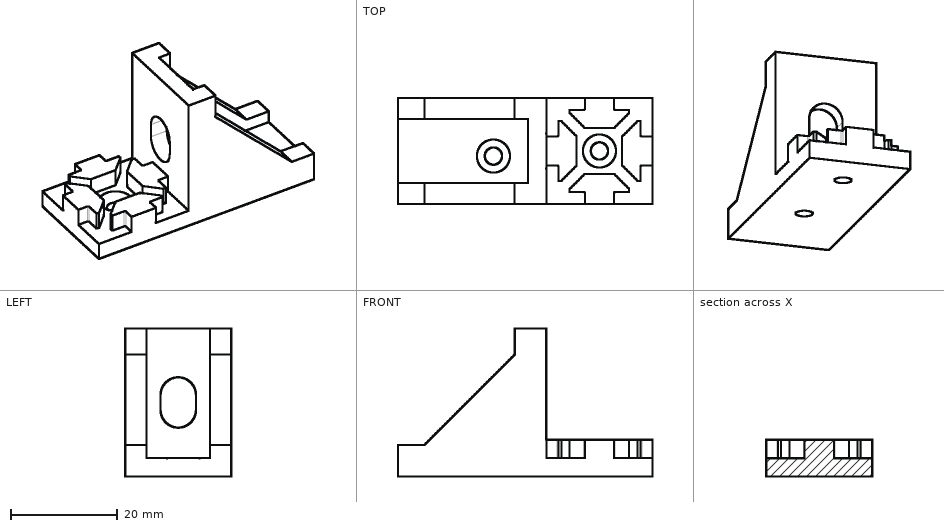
import cadquery as cq

length = 48.0
width = 20.0
height = 28.0
bracket_length = length - width
thickness = 3.5

toe_length = 5.0
toe_height = 6.0
top_length = toe_height
top_drop = toe_length
side_wall = 4.0
channel_width = width - 2 * side_wall

slot_width = 6.6
slot_length = 9.45
slot_center_z = height / 2

hole_diameter = 3.2
countersink_diameter = 6.25
bracket_hole = (18.0, -0.95)
plate_center = (length - width / 2, 0)

stem_half = 2.75
flange_half = 5.6
flange_start = 2.25
key_depth = 5.7
corner_radius = 0.25


def make_base():
    return cq.Workplane("XY").box(length, width, thickness, centered=(False, True, False))


def make_bracket():
    """Solid 45-degree bracket with an open channel between its side walls."""
    profile = [
        (0, 0),
        (bracket_length, 0),
        (bracket_length, height),
        (bracket_length - top_length, height),
        (bracket_length - top_length, height - top_drop),
        (toe_length, toe_height),
        (0, toe_height),
    ]
    bracket = cq.Workplane("XZ").polyline(profile).close().extrude(width / 2, both=True)
    channel = (
        cq.Workplane("XY")
        .workplane(offset=thickness)
        .box(bracket_length - thickness, channel_width, height, centered=(False, True, False))
    )
    return bracket.cut(channel)


def make_slot():
    """Vertical slot cutter through the upright wall."""
    return (
        cq.Workplane("YZ", origin=(bracket_length - thickness, 0, slot_center_z))
        .slot2D(slot_length, slot_width, 90)
        .extrude(thickness)
    )


def make_key():
    """Key on the +X plate edge, standing on the base."""
    edge_x = width / 2
    inner_x = edge_x - key_depth
    flange_x = edge_x - flange_start
    tip_x = inner_x + flange_half - stem_half
    outline = [
        (edge_x, -stem_half),
        (flange_x, -stem_half),
        (flange_x, -flange_half),
        (tip_x, -flange_half),
        (inner_x, -stem_half),
        (inner_x, stem_half),
        (tip_x, flange_half),
        (flange_x, flange_half),
        (flange_x, stem_half),
        (edge_x, stem_half),
    ]
    key = cq.Workplane("XY").polyline(outline).close().extrude(thickness)
    inside_corners = cq.selectors.BoxSelector(
        (flange_x - corner_radius, -stem_half - corner_radius, 0),
        (flange_x + corner_radius, stem_half + corner_radius, thickness),
    )
    return key.edges("|Z").edges(inside_corners).fillet(corner_radius)


def make_screw_hole(center):
    """Countersunk hole cutter that opens at the top of the base plate."""
    hole_radius = hole_diameter / 2
    countersink_radius = countersink_diameter / 2
    countersink_depth = countersink_radius - hole_radius
    half_section = [
        (0, 0),
        (hole_radius, 0),
        (hole_radius, thickness - countersink_depth),
        (countersink_radius, thickness),
        (0, thickness),
    ]
    cutter = cq.Workplane("XZ").polyline(half_section).close().revolve(360, (0, 0), (0, 1))
    return cutter.translate((*center, 0))


result = make_base().union(make_bracket()).cut(make_slot())

key = make_key()
for angle in (0, 90, 180, 270):
    turned_key = key.rotate((0, 0, 0), (0, 0, 1), angle)
    result = result.union(turned_key.translate((*plate_center, thickness)))

for hole_center in (bracket_hole, plate_center):
    result = result.cut(make_screw_hole(hole_center))